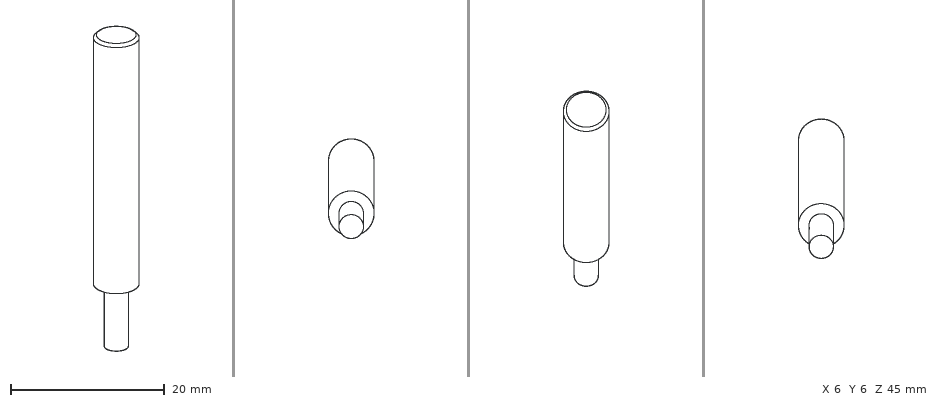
import cadquery as cq

total_length = 45.0
barrel_diameter = 6.0
barrel_length = 36.0
chamfer_size = 0.4
stem_diameter = 3.2

stem_length = total_length - barrel_length


def make_barrel():
    """Solid round barrel with a chamfered top rim, standing on the stem."""
    barrel = cq.Workplane("XY").workplane(offset=stem_length).circle(barrel_diameter / 2).extrude(barrel_length)
    return barrel.faces(">Z").edges().chamfer(chamfer_size)


def make_stem():
    """Thinner round stem that meets the flat underside of the barrel."""
    return cq.Workplane("XY").circle(stem_diameter / 2).extrude(stem_length)


barrel = make_barrel()
stem = make_stem()

result = cq.Compound.makeCompound([barrel.val(), stem.val()])